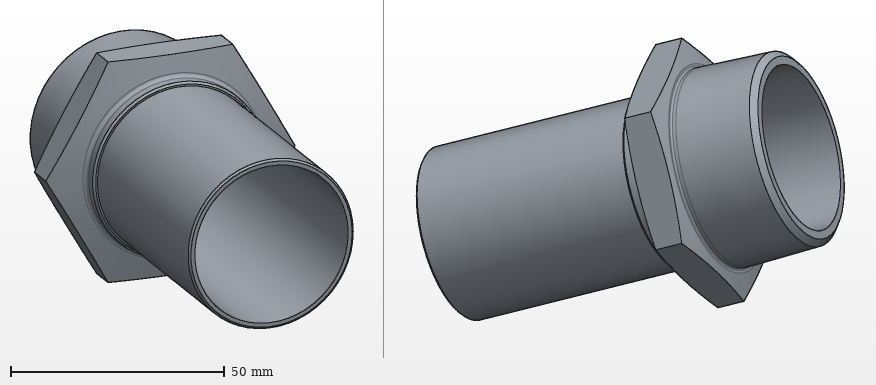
import cadquery as cq
import math

overall_length = 91.0

tube_diameter = 42.0
tube_bore = 39.0
tube_end_diameter = 41.0
tube_start = 21.0

fitting_bore = 40.0
spigot_face_diameter = 44.0
spigot_chamfer_length = 1.5
spigot_small_diameter = 47.1
spigot_large_diameter = 48.3
taper_end = 20.6

collar_diameter = 44.0
collar_end = 35.9
collar_chamfer = 0.55

hex_across_flats = 55.0
hex_across_corners = hex_across_flats / math.cos(math.radians(30))
hex_start = 21.9
hex_end = 32.0
hex_face_angle = 12.0
spigot_root_fillet = 0.5
collar_root_fillet = 1.0
start_flat_diameter = 50.4
end_flat_diameter = collar_diameter + 2 * collar_root_fillet


def face_setback(flat_diameter):
    """Axial distance that a turned hexagon face loses from its flat out to the corners."""
    return (hex_across_corners - flat_diameter) / 2 * math.tan(math.radians(hex_face_angle))


def revolve_about_x(points):
    """Revolve a closed outline of (x, diameter) points about the X axis."""
    outline = [(x, diameter / 2) for x, diameter in points]
    return cq.Workplane("XY").polyline(outline).close().revolve(360, (0, 0, 0), (1, 0, 0))


def cylinder(start, end, diameter):
    return cq.Workplane("YZ").workplane(offset=start).circle(diameter / 2).extrude(end - start)


def make_hexagon():
    """Hexagon with corners along Y, its two end faces turned to shallow cones."""
    prism = (
        cq.Workplane("YZ")
        .workplane(offset=hex_start)
        .polygon(6, hex_across_corners)
        .extrude(hex_end - hex_start)
    )
    turned_envelope = revolve_about_x([
        (hex_start, 0),
        (hex_start, start_flat_diameter),
        (hex_start + face_setback(start_flat_diameter), hex_across_corners),
        (hex_end - face_setback(end_flat_diameter), hex_across_corners),
        (hex_end, end_flat_diameter),
        (hex_end, 0),
    ])
    return prism.intersect(turned_envelope)


def make_root_fillet(root_x, root_diameter, radius, direction):
    """Concave ring between a hexagon face and a cylinder; direction is the way the face looks along X."""
    root_radius = root_diameter / 2
    centre_x = root_x + direction * radius
    centre_height = root_radius + radius
    arc_offset = radius * math.sqrt(0.5)
    arc_middle = (centre_x - direction * arc_offset, centre_height - arc_offset)
    inner_height = fitting_bore / 2
    return (
        cq.Workplane("XY")
        .moveTo(root_x, inner_height)
        .lineTo(root_x, centre_height)
        .threePointArc(arc_middle, (centre_x, root_radius))
        .lineTo(centre_x, inner_height)
        .close()
        .revolve(360, (0, 0, 0), (1, 0, 0))
    )


def make_spigot():
    return revolve_about_x([
        (0, 0),
        (0, spigot_face_diameter),
        (spigot_chamfer_length, spigot_small_diameter),
        (taper_end, spigot_large_diameter),
        (hex_start, spigot_large_diameter),
        (hex_start, 0),
    ])


def make_collar():
    collar = cylinder(hex_end, collar_end, collar_diameter)
    return collar.faces(">X").chamfer(collar_chamfer)


def make_fitting():
    body = make_spigot().union(make_hexagon()).union(make_collar())
    body = body.union(make_root_fillet(hex_start, spigot_large_diameter, spigot_root_fillet, -1))
    body = body.union(make_root_fillet(hex_end, collar_diameter, collar_root_fillet, 1))
    through_bore = cylinder(0, overall_length, fitting_bore)
    tube_socket = cylinder(tube_start, overall_length, tube_diameter)
    return body.cut(through_bore).cut(tube_socket)


def make_tube():
    end_chamfer = (tube_diameter - tube_end_diameter) / 2
    tube = cylinder(tube_start, overall_length, tube_diameter).faces(">X").chamfer(end_chamfer)
    return tube.cut(cylinder(tube_start, overall_length, tube_bore))


fitting = make_fitting()
tube = make_tube()
result = cq.Compound.makeCompound([fitting.val(), tube.val()])